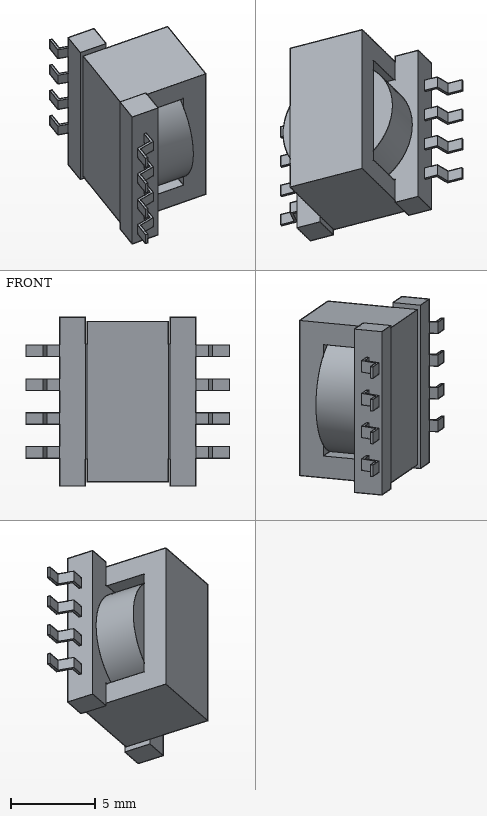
import cadquery as cq

total_length = 12.07
total_depth = 5.97
foot_y = -total_depth / 2
core_back_y = total_depth / 2

core_width = 4.8
core_depth = 5.66
core_height = 9.5
core_front_y = core_back_y - core_depth

window_height = 6.82
back_wall = 1.5
flange_thickness = 0.4
window_back_y = core_back_y - back_wall

bar_width = 1.53
bar_depth = 1.74
bar_standoff = 0.17
bar_height = 10.0
bar_span = 8.07
bar_front_y = foot_y + bar_standoff
bar_back_y = bar_front_y + bar_depth
window_front_y = bar_back_y - flange_thickness

coil_diameter = 7.29

lead_count = 4
lead_pitch = 2.0
lead_width = 0.7
lead_thickness = 0.16
lead_rise = 1.12
foot_top_length = 0.9
foot_bottom_length = 1.03
bend_run = 0.23


def y_box(x_size, z_size, y_front, y_back):
    """Box centred on X and Z, spanning y_front to y_back."""
    box = cq.Workplane("XY").box(x_size, y_back - y_front, z_size)
    return box.translate((0, (y_front + y_back) / 2, 0))


def make_core():
    core = y_box(core_width, core_height, core_front_y, core_back_y)
    window = y_box(core_width, window_height, window_front_y, window_back_y)
    return core.cut(window)


def make_coil():
    """Round winding whose axis runs along Y, resting on the flange."""
    coil_length = window_back_y - bar_back_y
    return (
        cq.Workplane("XZ", origin=(0, window_back_y, 0))
        .circle(coil_diameter / 2)
        .extrude(coil_length)
    )


def make_flange():
    """Plate under the winding that joins the two pin bars through the core window."""
    return y_box(bar_span - bar_width, window_height, window_front_y, bar_back_y)


def make_bar(side):
    bar = y_box(bar_width, bar_height, bar_front_y, bar_back_y)
    return bar.translate((side * (bar_span - bar_width) / 2, 0, 0))


def make_lead(side, z_center):
    tip_x = total_length / 2
    root_x = (bar_span - bar_width) / 2
    foot_top_x = tip_x - foot_top_length
    foot_bottom_x = tip_x - foot_bottom_length
    foot_top_y = foot_y + lead_thickness
    shoulder_top_y = foot_y + lead_rise
    shoulder_bottom_y = shoulder_top_y - lead_thickness
    profile = [
        (tip_x, foot_y),
        (tip_x, foot_top_y),
        (foot_top_x, foot_top_y),
        (foot_top_x - bend_run, shoulder_top_y),
        (root_x, shoulder_top_y),
        (root_x, shoulder_bottom_y),
        (foot_bottom_x - bend_run, shoulder_bottom_y),
        (foot_bottom_x, foot_y),
    ]
    return (
        cq.Workplane("XY", origin=(0, 0, z_center - lead_width / 2))
        .polyline([(side * x, y) for x, y in profile])
        .close()
        .extrude(lead_width)
    )


result = make_core().union(make_coil()).union(make_flange())
for side in (-1, 1):
    result = result.union(make_bar(side))
    for index in range(lead_count):
        z_center = (index - (lead_count - 1) / 2) * lead_pitch
        result = result.union(make_lead(side, z_center))